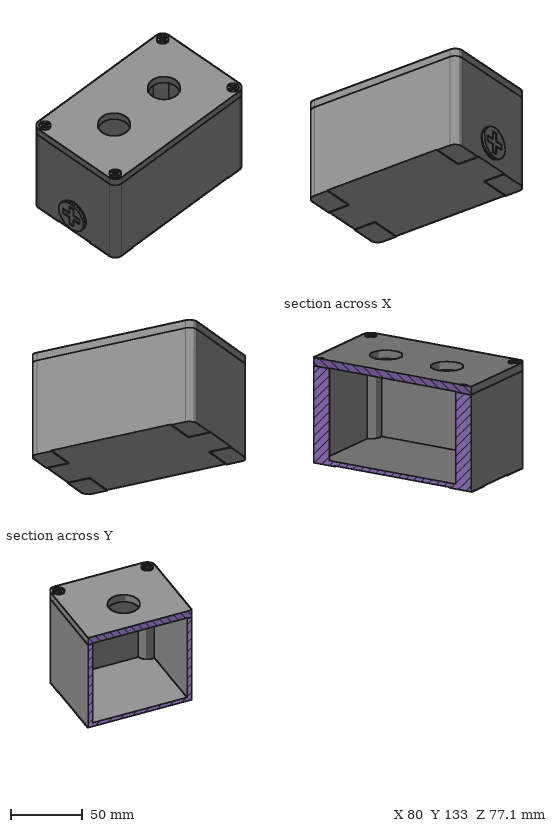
import cadquery as cq

width = 80.0
total_length = 133.0
height = 77.1
corner_radius = 6.0
lid_thickness = 6.0
screw_head_height = 0.1
lid_top = height - screw_head_height
body_height = lid_top - lid_thickness

plug_projection = 3.0
plug_radius = 12.0
plug_neck_radius = 11.6
plug_neck_length = 1.0
plug_height = 17.4
plug_cross_length = 16.2
plug_cross_width = 4.0
plug_cross_depth = 0.5
length = total_length - plug_projection

side_wall = 4.0
end_wall = 7.8
floor_thickness = 4.0
post_radius = 7.8

channel_depth = 0.5
lengthwise_channel_width = 30.0
crosswise_channel_width = 95.1

button_radius = 11.3
button_spacing = 50.0

screw_inset = 6.0
screw_radius = 4.0
screw_clearance = 0.1
screw_seat_depth = 0.5
screw_cross_length = 6.0
screw_cross_width = 1.5
screw_cross_depth = 0.5

screw_points = [
    (side * (width / 2 - screw_inset), end * (length / 2 - screw_inset))
    for side in (-1, 1)
    for end in (-1, 1)
]


def rounded_block(bottom, block_height):
    """Full outline of the enclosure, rounded at its four upright edges."""
    return (
        cq.Workplane("XY", origin=(0, 0, bottom))
        .rect(width, length)
        .extrude(block_height)
        .edges("|Z")
        .fillet(corner_radius)
    )


def cross_recess(face, points, arm_length, arm_width, depth):
    """Cross-shaped cutters sunk to the given depth below an outward-facing workplane."""
    sketch = face.pushPoints(points)
    level_arms = sketch.rect(arm_length, arm_width).extrude(-depth)
    upright_arms = sketch.rect(arm_width, arm_length).extrude(-depth)
    return level_arms.union(upright_arms)


def make_cavity():
    """Open-topped space in the housing, less a round screw post in each corner."""
    floor = cq.Workplane("XY", origin=(0, 0, floor_thickness))
    cavity_height = body_height - floor_thickness
    space = floor.rect(width - 2 * side_wall, length - 2 * end_wall).extrude(cavity_height)
    posts = floor.pushPoints(screw_points).circle(post_radius).extrude(cavity_height)
    return space.cut(posts)


def make_channels():
    """Crossing channels under the floor, one along Y and one along X."""
    base = cq.Workplane("XY")
    lengthwise = base.rect(lengthwise_channel_width, length).extrude(channel_depth)
    crosswise = base.rect(width, crosswise_channel_width).extrude(channel_depth)
    return lengthwise.union(crosswise)


def make_plug():
    """Plug on the outside of the -Y wall, with a cross recess in its face."""
    wall_face = cq.Workplane("XZ", origin=(0, -length / 2, plug_height))
    neck = wall_face.circle(plug_neck_radius).extrude(plug_neck_length)
    head = (
        wall_face.workplane(offset=plug_neck_length)
        .circle(plug_radius)
        .extrude(plug_projection - plug_neck_length)
    )
    head_face = cq.Workplane("XZ", origin=(0, -length / 2 - plug_projection, plug_height))
    cross = cross_recess(head_face, [(0, 0)], plug_cross_length, plug_cross_width, plug_cross_depth)
    return neck.union(head).cut(cross)


def make_housing():
    """Box with its screw posts, feet and plug."""
    box = rounded_block(0, body_height).cut(make_cavity()).cut(make_channels())
    return box.union(make_plug())


def make_lid():
    """Flat lid with two button holes and four screw heads."""
    plate = rounded_block(body_height, lid_thickness)
    plate_face = cq.Workplane("XY", origin=(0, 0, lid_top))
    button_holes = (
        plate_face.pushPoints([(0, -button_spacing / 2), (0, button_spacing / 2)])
        .circle(button_radius)
        .extrude(-lid_thickness)
    )
    screw_seats = (
        plate_face.pushPoints(screw_points)
        .circle(screw_radius + screw_clearance)
        .extrude(-screw_seat_depth)
    )
    screw_heads = (
        plate_face.workplane(offset=-screw_seat_depth)
        .pushPoints(screw_points)
        .circle(screw_radius)
        .extrude(screw_seat_depth + screw_head_height)
    )
    screw_face = cq.Workplane("XY", origin=(0, 0, height))
    crosses = cross_recess(
        screw_face, screw_points, screw_cross_length, screw_cross_width, screw_cross_depth
    )
    return plate.cut(button_holes).cut(screw_seats).union(screw_heads).cut(crosses)


housing = make_housing()
lid = make_lid()

result = cq.Compound.makeCompound([*housing.solids().vals(), *lid.solids().vals()])